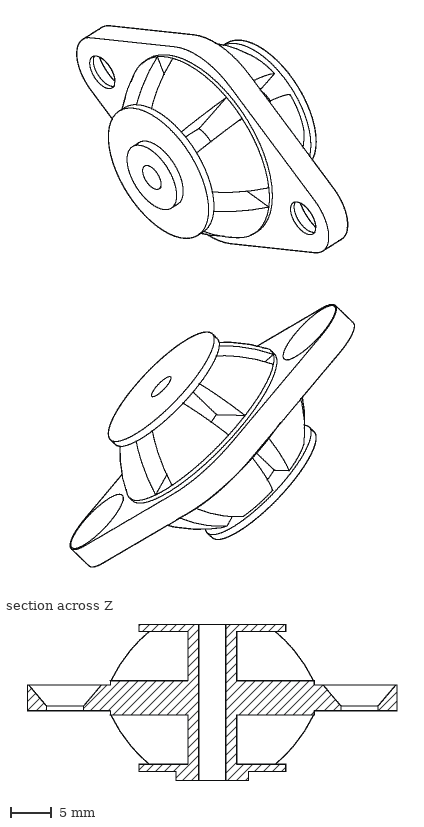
import cadquery as cq
import math

BODY_LENGTH = 18.0
DISC_THICKNESS = 0.9
FLANGE_THICKNESS = 3.2
RING_LENGTH = 4.2
BOSS_HEIGHT = 1.1

DISC_RADIUS = 9.0
RING_RADIUS = 12.5
DOME_END_RADIUS = 7.9
DOME_BULGE = 0.4
CORE_RADIUS = 3.0
BOSS_RADIUS = 4.45
BORE_RADIUS = 1.65

FLANGE_CREST_HEIGHT = 14.35
FLANGE_CREST_RADIUS = 10.0
FLANGE_END_RADIUS = 5.0
FLANGE_LENGTH = 45.2
MOUNT_HOLE_SPACING = 36.0
MOUNT_HOLE_DIAMETER = 4.5
COUNTERSINK_DIAMETER = 8.9
COUNTERSINK_DEPTH = 2.6

SLOT_COUNT = 6
SLOT_WIDTH = 3.2

HALF_LENGTH = BODY_LENGTH / 2
DISC_INNER_Y = HALF_LENGTH - DISC_THICKNESS
RING_FACE_Y = RING_LENGTH / 2


def cylinder(radius, y_start, y_end):
    """Solid cylinder on the Y axis between two Y positions."""
    plane = cq.Workplane("XZ", origin=(0, y_end, 0))
    return plane.circle(radius).extrude(y_end - y_start)


def make_mount_holes():
    """Cutter for the two mounting holes, countersunk from the +Y face."""
    hole_x = MOUNT_HOLE_SPACING / 2
    back_y = FLANGE_THICKNESS / 2
    hole_radius = MOUNT_HOLE_DIAMETER / 2
    sink_radius = COUNTERSINK_DIAMETER / 2
    hole = (
        cq.Workplane("XY")
        .moveTo(0, -back_y)
        .lineTo(hole_radius, -back_y)
        .lineTo(hole_radius, back_y - COUNTERSINK_DEPTH)
        .lineTo(sink_radius, back_y)
        .lineTo(0, back_y)
        .close()
        .revolve(360, (0, 0, 0), (0, 1, 0))
    )
    return hole.translate((-hole_x, 0, 0)).union(hole.translate((hole_x, 0, 0)))


def make_flange():
    """Rounded rhombic plate: two crest arcs and two end arcs joined by tangent lines."""
    crest_centre = FLANGE_CREST_HEIGHT - FLANGE_CREST_RADIUS
    end_centre = FLANGE_LENGTH / 2 - FLANGE_END_RADIUS
    centre_distance = math.hypot(end_centre, crest_centre)
    centre_angle = math.atan2(crest_centre, -end_centre)
    radius_change = FLANGE_END_RADIUS - FLANGE_CREST_RADIUS
    normal_angle = centre_angle - math.acos(radius_change / centre_distance)
    cos_n = math.cos(normal_angle)
    sin_n = math.sin(normal_angle)
    crest_x = FLANGE_CREST_RADIUS * cos_n
    crest_z = crest_centre + FLANGE_CREST_RADIUS * sin_n
    end_x = end_centre + FLANGE_END_RADIUS * cos_n
    end_z = FLANGE_END_RADIUS * sin_n

    plate = (
        cq.Workplane("XZ", origin=(0, FLANGE_THICKNESS / 2, 0))
        .moveTo(-crest_x, crest_z)
        .threePointArc((0, FLANGE_CREST_HEIGHT), (crest_x, crest_z))
        .lineTo(end_x, end_z)
        .threePointArc((FLANGE_LENGTH / 2, 0), (end_x, -end_z))
        .lineTo(crest_x, -crest_z)
        .threePointArc((0, -FLANGE_CREST_HEIGHT), (-crest_x, -crest_z))
        .lineTo(-end_x, -end_z)
        .threePointArc((-FLANGE_LENGTH / 2, 0), (-end_x, end_z))
        .close()
        .extrude(FLANGE_THICKNESS)
    )
    return plate.cut(make_mount_holes())


def make_dome():
    """Bowed dome on the +Y side, from the ring face to the end disc."""
    run = DISC_INNER_Y - RING_FACE_Y
    drop = RING_RADIUS - DOME_END_RADIUS
    chord = math.hypot(run, drop)
    middle = (
        (RING_FACE_Y + DISC_INNER_Y) / 2 + DOME_BULGE * drop / chord,
        (RING_RADIUS + DOME_END_RADIUS) / 2 + DOME_BULGE * run / chord,
    )
    return (
        cq.Workplane("YZ")
        .moveTo(RING_FACE_Y, 0)
        .lineTo(RING_FACE_Y, RING_RADIUS)
        .threePointArc(middle, (DISC_INNER_Y, DOME_END_RADIUS))
        .lineTo(DISC_INNER_Y, 0)
        .close()
        .revolve(360, (0, 0, 0), (1, 0, 0))
    )


def make_slots():
    """Radial slots through the +Y dome, reaching in to the core."""
    depth = DISC_INNER_Y - RING_FACE_Y
    blade = cq.Workplane("XY").box(RING_RADIUS, depth, SLOT_WIDTH, centered=(False, False, True))
    blade = blade.translate((0, RING_FACE_Y, 0))
    slots = blade
    for index in range(1, SLOT_COUNT):
        slots = slots.union(blade.rotate((0, 0, 0), (0, 1, 0), index * 360 / SLOT_COUNT))
    return slots.cut(cylinder(CORE_RADIUS, RING_FACE_Y, DISC_INNER_Y))


slotted_dome = make_dome().cut(make_slots())
end_disc = cylinder(DISC_RADIUS, DISC_INNER_Y, HALF_LENGTH)

result = make_flange().union(cylinder(RING_RADIUS, -RING_FACE_Y, RING_FACE_Y))
for half_part in (slotted_dome, end_disc):
    result = result.union(half_part).union(half_part.mirror("XZ"))

boss_face_y = -HALF_LENGTH - BOSS_HEIGHT
result = result.union(cylinder(BOSS_RADIUS, boss_face_y, -HALF_LENGTH))
result = result.cut(cylinder(BORE_RADIUS, boss_face_y, HALF_LENGTH))